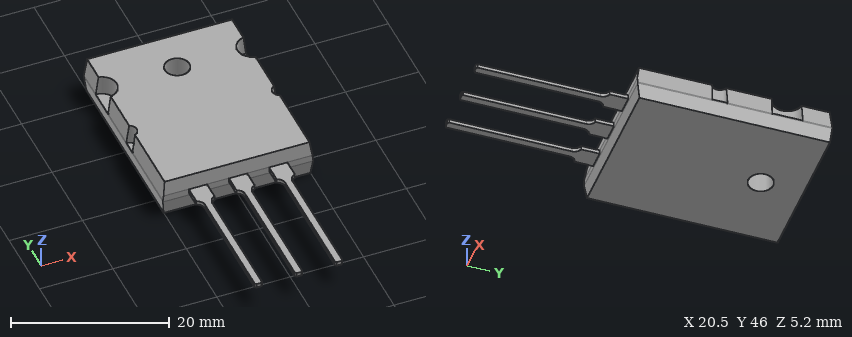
import cadquery as cq
import math

total_length = 46.0
lead_length = 20.0
body_length = total_length - lead_length
body_height = 5.2

parting_z = 2.25
parting_band_height = 0.15
parting_band_top_z = parting_z + parting_band_height
parting_width = 20.5
top_width = 19.75
bottom_width = 20.0
upright_face_top_z = 3.2
lead_side_taper = 0.3
far_side_taper = 0.25

hole_diameter = 3.3
hole_y = body_length - 6.0
large_notch_radius = 2.02
large_notch_y = hole_y
small_notch_radius = 1.0
small_notch_y = body_length - 15.0

lead_pitch = 5.45
lead_thickness = 0.6
lead_bottom_z = 2.55
shank_width = 1.0
shoulder_width = 2.5
shoulder_length = 2.5
neck_radius = 1.0
tip_chamfer = 0.2
lead_embedment = 0.45


def make_body():
    """Block bounded by a tapered cross-section along X and another along Y."""
    cross_section = (
        cq.Workplane("XZ")
        .polyline([
            (-bottom_width / 2, 0),
            (bottom_width / 2, 0),
            (parting_width / 2, parting_z),
            (parting_width / 2, parting_band_top_z),
            (top_width / 2, body_height),
            (-top_width / 2, body_height),
            (-parting_width / 2, parting_band_top_z),
            (-parting_width / 2, parting_z),
        ])
        .close()
        .extrude(-body_length)
    )
    side_profile = (
        cq.Workplane("YZ")
        .polyline([
            (lead_side_taper, 0),
            (body_length - far_side_taper, 0),
            (body_length, parting_z),
            (body_length - far_side_taper, body_height),
            (lead_side_taper, body_height),
            (0, upright_face_top_z),
            (0, parting_z),
        ])
        .close()
        .extrude(parting_width / 2, both=True)
    )
    return cross_section.intersect(side_profile)


def make_notches(radius, y):
    """Pair of round notches centred on the long sides, open at the top, floored at the parting band."""
    return (
        cq.Workplane("XY", origin=(0, y, parting_band_top_z))
        .pushPoints([(-parting_width / 2, 0), (parting_width / 2, 0)])
        .circle(radius)
        .extrude(body_height - parting_band_top_z)
    )


def make_mounting_hole():
    return cq.Workplane("XY").center(0, hole_y).circle(hole_diameter / 2).extrude(body_height)


def make_lead(x):
    """Flat lead with a wide shoulder that necks down to the shank through concave arcs."""
    half_shank = shank_width / 2
    half_shoulder = shoulder_width / 2
    arc_center_x = half_shank + neck_radius
    neck_length = math.sqrt(neck_radius**2 - (arc_center_x - half_shoulder) ** 2)
    neck_start_y = -shoulder_length
    neck_end_y = neck_start_y - neck_length
    tip_y = -lead_length
    return (
        cq.Workplane("XY", origin=(x, 0, lead_bottom_z))
        .moveTo(-half_shoulder, lead_embedment)
        .lineTo(-half_shoulder, neck_start_y)
        .radiusArc((-half_shank, neck_end_y), neck_radius)
        .lineTo(-half_shank, tip_y + tip_chamfer)
        .lineTo(-half_shank + tip_chamfer, tip_y)
        .lineTo(half_shank - tip_chamfer, tip_y)
        .lineTo(half_shank, tip_y + tip_chamfer)
        .lineTo(half_shank, neck_end_y)
        .radiusArc((half_shoulder, neck_start_y), neck_radius)
        .lineTo(half_shoulder, lead_embedment)
        .close()
        .extrude(lead_thickness)
    )


result = (
    make_body()
    .cut(make_notches(large_notch_radius, large_notch_y))
    .cut(make_notches(small_notch_radius, small_notch_y))
    .cut(make_mounting_hole())
)
for lead_x in (-lead_pitch, 0, lead_pitch):
    result = result.union(make_lead(lead_x))